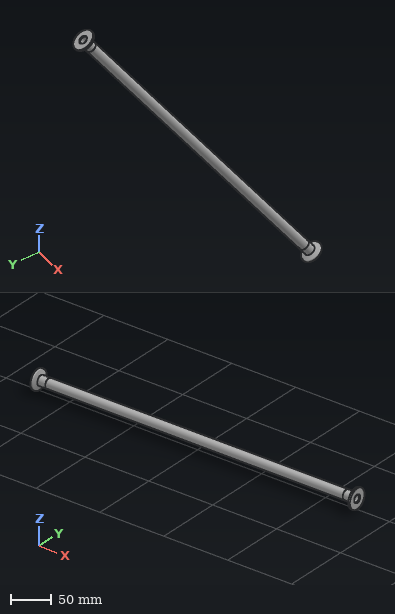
import cadquery as cq

length = 500.0
flange_radius = 15.0
tube_radius = 7.5
bore_radius = 5.0
bore_chamfer = 1.0

rim_width = 3.0
hub_width = 5.0
rim_fillet = 1.0

groove_start = 16.0
groove_width = 2.5
groove_depth = 0.25

half_length = length / 2


def make_flanged_half():
    """The half on the -X side, with its flange at the end and its flat cut on the YZ plane."""
    end_x = -half_length
    outline = [
        (end_x, 0),
        (end_x, flange_radius),
        (end_x + rim_width, flange_radius),
        (end_x + hub_width, tube_radius),
        (0, tube_radius),
        (0, 0),
    ]
    body = cq.Workplane("XY").polyline(outline).close().revolve(360, (0, 0, 0), (1, 0, 0))
    largest_circles = body.edges(cq.selectors.RadiusNthSelector(-1))
    return largest_circles.edges(">X").fillet(rim_fillet)


def make_groove_ring():
    """The triangular ring of material taken out by the V-groove on the -X side."""
    start_x = groove_start - half_length
    outline = [
        (start_x, tube_radius),
        (start_x + groove_width / 2, tube_radius - groove_depth),
        (start_x + groove_width, tube_radius),
    ]
    return cq.Workplane("XY").polyline(outline).close().revolve(360, (0, 0, 0), (1, 0, 0))


def make_bore():
    """Through bore with both mouths widened by a 45 degree chamfer."""
    mouth_radius = bore_radius + bore_chamfer
    outline = [
        (-half_length, 0),
        (-half_length, mouth_radius),
        (-half_length + bore_chamfer, bore_radius),
        (half_length - bore_chamfer, bore_radius),
        (half_length, mouth_radius),
        (half_length, 0),
    ]
    return cq.Workplane("XY").polyline(outline).close().revolve(360, (0, 0, 0), (1, 0, 0))


grooved_half = make_flanged_half().cut(make_groove_ring())
whole_body = grooved_half.union(grooved_half.mirror("YZ")).clean()
result = whole_body.cut(make_bore())